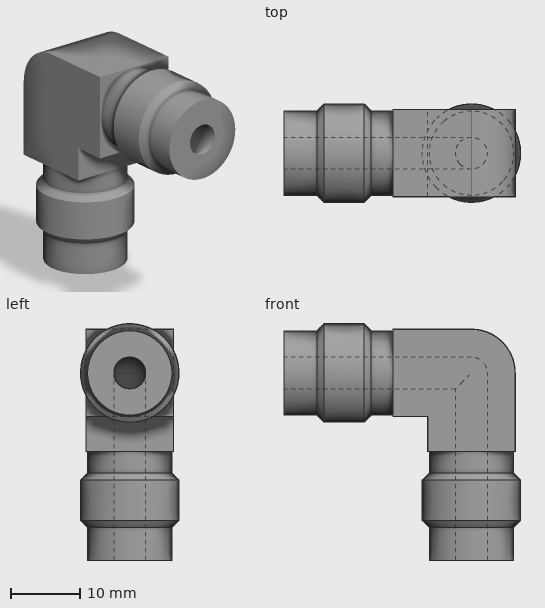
import cadquery as cq

overall = 34.32
collar_radius = 7.15
tube_radius = 6.1
bore_radius = 2.3
collar_start = 4.8
collar_end = 12.65
collar_chamfer = collar_radius - tube_radius
block_width = 12.7
block_start = 15.8

arm_length = overall - collar_radius
half_block = block_width / 2
block_reach = arm_length - block_start


def along_arms(shape):
    """Place a shape built along -Z on both arms."""
    return shape.union(shape.rotate((0, 0, 0), (0, 1, 0), 90))


def make_tube():
    """Solid tube with its chamfered collar, from the open end to the block."""
    tube = cq.Workplane("XY").workplane(offset=-arm_length).circle(tube_radius).extrude(block_start)
    collar = (
        cq.Workplane("XY")
        .workplane(offset=collar_start - arm_length)
        .circle(collar_radius)
        .extrude(collar_end - collar_start)
        .faces("<Z or >Z")
        .chamfer(collar_chamfer)
    )
    return tube.union(collar)


def make_block():
    """L-shaped elbow block, rounded on its outer corner."""
    outline = (
        cq.Workplane("XZ")
        .moveTo(-block_reach, half_block)
        .lineTo(0, half_block)
        .radiusArc((half_block, 0), half_block)
        .lineTo(half_block, -block_reach)
        .lineTo(-half_block, -block_reach)
        .lineTo(-half_block, -half_block)
        .lineTo(-block_reach, -half_block)
        .close()
    )
    return outline.extrude(half_block, both=True)


def make_bore():
    """Bore through both arms, with a spherical end where they meet."""
    straight = cq.Workplane("XY").circle(bore_radius).extrude(-arm_length)
    return along_arms(straight).union(cq.Workplane("XY").sphere(bore_radius))


result = make_block().union(along_arms(make_tube())).cut(make_bore())